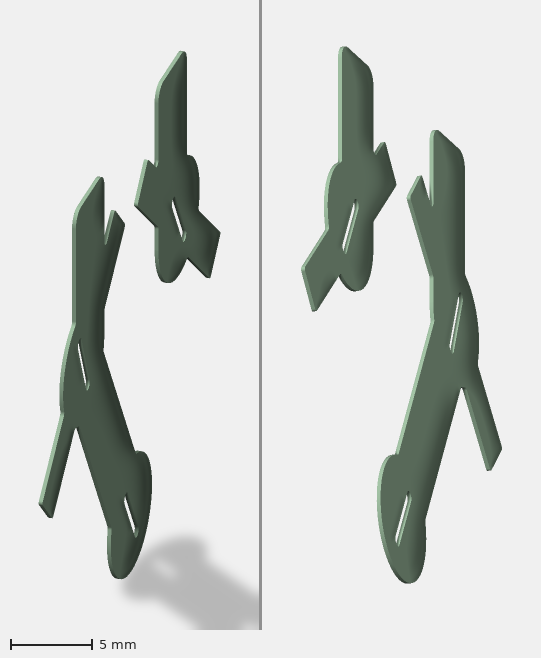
import cadquery as cq
import math

thickness = 0.25
disc_radius = 4.0
hub_offset = 9.25
stem_width = 5.5
stem_height = 11.58
stem_corner_radius = 1.0
bar_length = 19.3
bar_width = 3.0
bar_slope = 43.0
bar_corner_radius = 0.2
link_width = 5.4
link_slope = 60.0
notch_radius = 0.3
slot_width = 0.75
slot_length = 4.82
link_slot_slope = 60.0
steep_slot_slope = 67.5

link_drop = hub_offset * math.tan(math.radians(link_slope))
link_length = hub_offset / math.cos(math.radians(link_slope))


def sheet():
    """Workplane on the back face: local x is Y, local y is Z."""
    return cq.Workplane("YZ", origin=(-thickness / 2, 0, 0))


def disc(y, z):
    return sheet().center(y, z).circle(disc_radius).extrude(thickness)


def stem(side):
    """Upright tab whose inner edge is tangent to the hub disc."""
    middle = side * (hub_offset - disc_radius + stem_width / 2)
    return (
        sheet()
        .center(middle, stem_height / 2)
        .rect(stem_width, stem_height)
        .extrude(thickness)
        .edges("|X and >Z")
        .fillet(stem_corner_radius)
    )


def bar(side):
    """Sloping bar centred on the hub."""
    return (
        sheet()
        .rect(bar_length, bar_width)
        .extrude(thickness)
        .edges("|X")
        .fillet(bar_corner_radius)
        .rotate((0, 0, 0), (1, 0, 0), -side * bar_slope)
        .translate((0, side * hub_offset, 0))
    )


def link():
    """Straight strip between the hub at -Y and the lower disc."""
    return (
        sheet()
        .rect(link_length, link_width)
        .extrude(thickness)
        .rotate((0, 0, 0), (1, 0, 0), -link_slope)
        .translate((0, -hub_offset / 2, -link_drop / 2))
    )


def slot(y, z, slope):
    """Cutter for a slot that rises toward -Y."""
    return sheet().center(y, z).slot2D(slot_length, slot_width, -slope).extrude(thickness)


def round_inside_corners(plate):
    """Offset the outline out and back in, which rounds only its inside corners."""
    outline = plate.faces("<X").wires().val()
    grown = outline.offset2D(notch_radius, "arc")[0]
    rounded = grown.offset2D(-notch_radius, "arc")[0]
    return cq.Workplane("YZ").add(rounded).toPending().extrude(thickness)


def head(side):
    return disc(side * hub_offset, 0).union(stem(side)).union(bar(side))


def make_short_plate():
    plate = round_inside_corners(head(1))
    return plate.cut(slot(hub_offset, 0, link_slot_slope))


def make_linked_plate():
    plate = round_inside_corners(head(-1).union(link()).union(disc(0, -link_drop)))
    plate = plate.cut(slot(-hub_offset, 0, steep_slot_slope))
    return plate.cut(slot(0, -link_drop, link_slot_slope))


short_plate = make_short_plate()
linked_plate = make_linked_plate()

result = cq.Compound.makeCompound([short_plate.val(), linked_plate.val()])